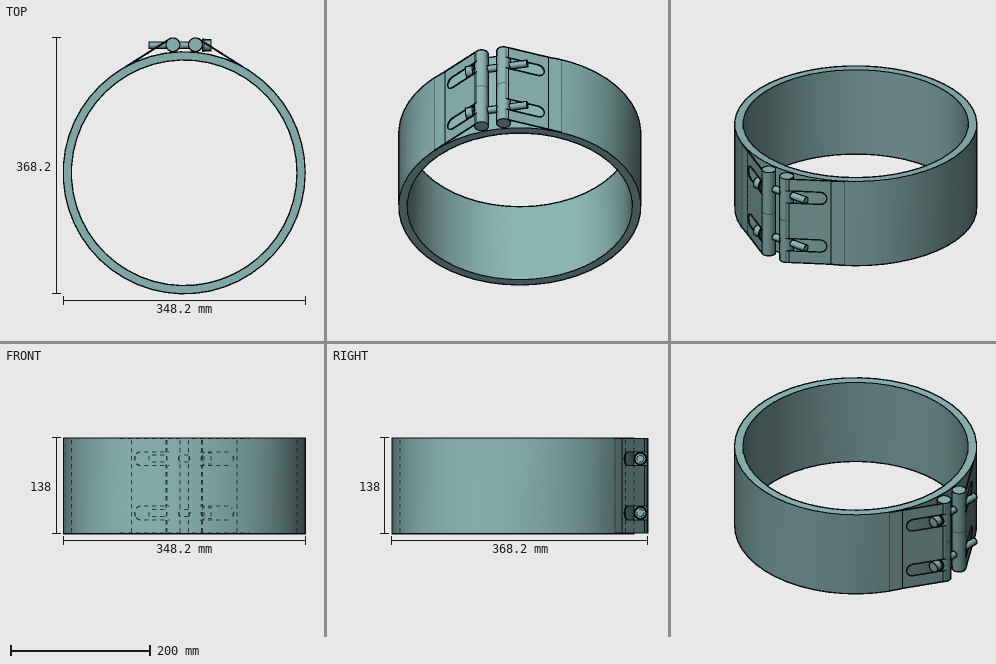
import cadquery as cq
import math

ring_diameter = 348.2
bore_diameter = 324.0
ring_height = 138.0

pin_diameter = 20.0
pin_offset_x = 16.2
clamp_y = (ring_diameter + pin_diameter) / 2

strap_height = 136.2
strap_thickness = 1.0
slot_width = 20.0
slot_length = 59.0

screw_heights = (-39.0, 39.0)
screw_y = 183.3
screw_diameter = 10.0
screw_tip_x = -50.8
washer_diameter = 18.0
washer_thickness = 2.2
head_diameter = 16.0
head_length = 10.3

pin_distance = math.hypot(pin_offset_x, clamp_y)
radius_difference = (ring_diameter - pin_diameter) / 2
strap_length = math.sqrt(pin_distance**2 - radius_difference**2)
tangent_angle = math.atan2(pin_offset_x, clamp_y) + math.acos(radius_difference / pin_distance)


def make_ring():
    return (
        cq.Workplane("XY")
        .circle(ring_diameter / 2)
        .circle(bore_diameter / 2)
        .extrude(ring_height / 2, both=True)
    )


def make_pins():
    return (
        cq.Workplane("XY")
        .pushPoints([(-pin_offset_x, clamp_y), (pin_offset_x, clamp_y)])
        .circle(pin_diameter / 2)
        .extrude(strap_height / 2, both=True)
    )


def make_strap():
    """Strap end on the -X side, tangent to ring and pin, with a round-ended slot at each screw."""
    outward = cq.Vector(-math.sin(tangent_angle), math.cos(tangent_angle), 0)
    toward_ring = cq.Vector(-math.cos(tangent_angle), -math.sin(tangent_angle), 0)
    pin_tangent_point = cq.Vector(-pin_offset_x, clamp_y, 0) + outward * (pin_diameter / 2)
    face = cq.Workplane(cq.Plane(pin_tangent_point, xDir=toward_ring, normal=outward))

    strap = face.rect(strap_length, strap_height).extrude(-strap_thickness)
    strap = strap.translate(toward_ring * (strap_length / 2))

    slot_centers = [(0, height) for height in screw_heights]
    slots = face.pushPoints(slot_centers).slot2D(2 * slot_length, slot_width).extrude(-strap_thickness)
    return strap.cut(slots)


def make_screw(height):
    """Screw with its washer resting against the +X pin."""
    washer_x = pin_offset_x + pin_diameter / 2
    head_x = washer_x + washer_thickness

    def disc(diameter, start_x, length):
        plane = cq.Plane((start_x, screw_y, height), xDir=(0, 1, 0), normal=(1, 0, 0))
        return cq.Workplane(plane).circle(diameter / 2).extrude(length)

    shank = disc(screw_diameter, screw_tip_x, head_x - screw_tip_x)
    washer = disc(washer_diameter, washer_x, washer_thickness)
    head = disc(head_diameter, head_x, head_length)
    return shank.union(washer).union(head)


strap = make_strap()
result = make_ring().union(strap).union(strap.mirror("YZ")).union(make_pins())
for screw_height in screw_heights:
    result = result.union(make_screw(screw_height))